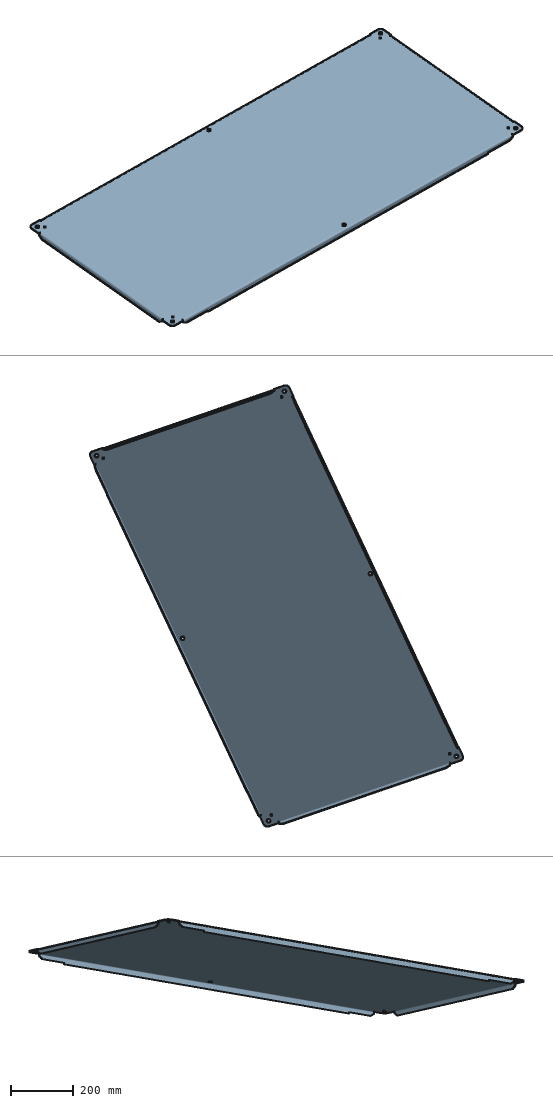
import cadquery as cq

WIDTH = 691.0
LENGTH = 1522.0
HEIGHT = 23.0

SHEET = 3.0
BEND_RADIUS = 6.0
CORNER_RADIUS = 14.0

CORNER_GAP = 49.0
END_STRAIGHT = 9.0
END_SLOPE = 14.0
SHORT_DEPTH = 18.0
STEP_INSET = 155.0

MOUNT_DIAMETER = 12.0
MOUNT_INSET = 20.0
PILOT_DIAMETER = 6.0
PILOT_INSET = 37.0

half_width = WIDTH / 2
half_length = LENGTH / 2


def flat_panel():
    """Top sheet with rounded corners, cut back along each edge to where the bends begin."""
    sheet = cq.Workplane("XY").rect(WIDTH, LENGTH).extrude(-SHEET).edges("|Z").fillet(CORNER_RADIUS)
    for side in (-1, 1):
        side_cut = cq.Workplane("XY").center(side * half_width, 0)
        end_cut = cq.Workplane("XY").center(0, side * half_length)
        sheet = sheet.cut(side_cut.rect(2 * BEND_RADIUS, LENGTH - 2 * CORNER_GAP).extrude(-SHEET))
        sheet = sheet.cut(end_cut.rect(WIDTH - 2 * CORNER_GAP, 2 * BEND_RADIUS).extrude(-SHEET))
    return sheet


def bent_strip(edge_offset, strip_length):
    """Rounded bend and full-depth wall along the +X edge at the given offset."""
    bend_start = edge_offset - BEND_RADIUS
    inner_radius = BEND_RADIUS - SHEET
    return (
        cq.Workplane("XZ", origin=(0, strip_length / 2, 0))
        .moveTo(bend_start, 0)
        .radiusArc((edge_offset, -BEND_RADIUS), BEND_RADIUS)
        .lineTo(edge_offset, -HEIGHT)
        .lineTo(edge_offset - SHEET, -HEIGHT)
        .lineTo(edge_offset - SHEET, -BEND_RADIUS)
        .radiusArc((bend_start, -SHEET), -inner_radius)
        .close()
        .extrude(strip_length)
    )


def flange(edge_offset, edge_length, side_outline):
    """Flange along the +X edge, trimmed to an outline in the YZ plane."""
    trim = cq.Workplane("YZ").polyline(side_outline).close().extrude(edge_offset)
    return bent_strip(edge_offset, edge_length - 2 * CORNER_GAP).intersect(trim)


def mirrored_outline(half_outline):
    """Closed outline from its +Y half, listed from top to bottom."""
    return half_outline + [(-y, z) for y, z in reversed(half_outline)]


def sloped_end(edge_length):
    """Top and slanted end of a flange, as far down as the short depth."""
    top_end = edge_length / 2 - CORNER_GAP
    return [
        (top_end, 0),
        (top_end, -END_STRAIGHT),
        (top_end - END_SLOPE, -SHORT_DEPTH),
    ]


def side_flange():
    """Long flange on +X, deeper along its middle than near its ends."""
    step_y = half_length - STEP_INSET
    deep_middle = [(step_y, -SHORT_DEPTH), (step_y, -HEIGHT)]
    return flange(half_width, LENGTH, mirrored_outline(sloped_end(LENGTH) + deep_middle))


def end_flange():
    """Short flange on +Y, one depth throughout."""
    across = flange(half_length, WIDTH, mirrored_outline(sloped_end(WIDTH)))
    return across.rotate((0, 0, 0), (0, 0, 1), 90)


def holes():
    """Six mounting holes along the sides and a small pilot hole near each corner."""
    mount_x = half_width - MOUNT_INSET
    mount_y = half_length - MOUNT_INSET
    pilot_x = half_width - PILOT_INSET
    pilot_y = half_length - PILOT_INSET
    mount_points = [(sx * mount_x, sy * mount_y) for sx in (-1, 1) for sy in (-1, 0, 1)]
    pilot_points = [(sx * pilot_x, sy * pilot_y) for sx in (-1, 1) for sy in (-1, 1)]
    mounts = cq.Workplane("XY").pushPoints(mount_points).circle(MOUNT_DIAMETER / 2).extrude(-SHEET)
    pilots = cq.Workplane("XY").pushPoints(pilot_points).circle(PILOT_DIAMETER / 2).extrude(-SHEET)
    return mounts.union(pilots)


result = flat_panel()
for make_flange in (side_flange, end_flange):
    one_flange = make_flange()
    result = result.union(one_flange).union(one_flange.rotate((0, 0, 0), (0, 0, 1), 180))
result = result.cut(holes())